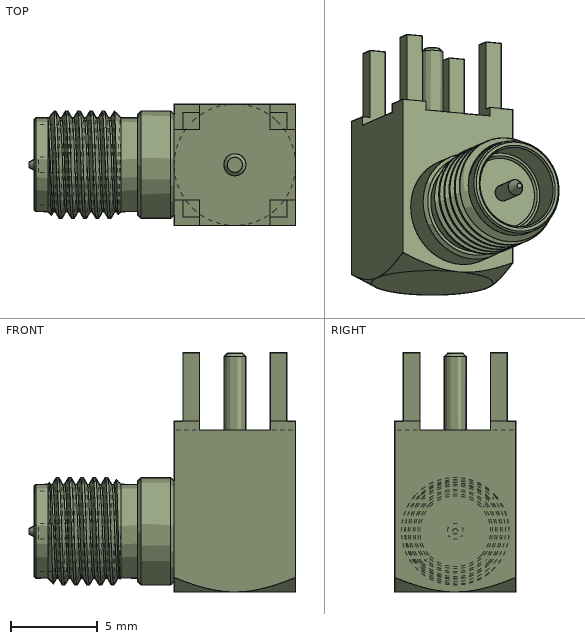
import cadquery as cq
import math


body_width = 7.0
body_half = body_width / 2
body_bottom = -3.5
overall_height = 13.8
leg_length = 3.95
pad_height = 0.5
pad_width = 1.475
leg_width = 0.975
legs_top = body_bottom + overall_height
pads_top = legs_top - leg_length
body_top = pads_top - pad_height
bottom_cone_angle = 30.0

board_pin_radius = 0.635
board_pin_chamfer = 0.2
board_pin_drop = 0.04
board_pin_top = legs_top - board_pin_drop

barrel_radius = 2.71
barrel_length = 8.07
barrel_chamfer = 0.1
collar_radius = 3.1
collar_length = 2.1
collar_chamfer = 0.2

thread_radius = 3.1
thread_start = 3.06
thread_end = 7.28
thread_pitch = 25.4 / 36
thread_flank_angle = 30.0
groove_root_width = 0.055
groove_overlap = 0.05
groove_root_radius = barrel_radius - groove_overlap
groove_outer_radius = thread_radius + groove_overlap
top_crest_distance = 6.72

bore_radius = 2.32
bore_mouth_chamfer = 0.1
bore_depth = 1.9
recess_radius = 2.16
recess_floor_radius = 2.04
recess_depth = 0.12
contact_radius = 0.46
contact_tip_radius = 0.15
contact_cone_length = 0.55
contact_length = 8.37


def revolve_on_barrel(outline):
    """Revolve (distance from body face, radius) points about the barrel axis."""
    points = [(-body_half - distance, radius) for distance, radius in outline]
    return cq.Workplane("XY").polyline(points).close().revolve(360, (0, 0, 0), (1, 0, 0))


def make_body():
    """Block whose lower corners are trimmed by a cone about the Z axis."""
    height = body_top - body_bottom
    block = cq.Workplane("XY").workplane(offset=body_bottom).rect(body_width, body_width)
    block = block.extrude(height)
    cone_top_radius = body_half + height / math.tan(math.radians(bottom_cone_angle))
    trim = (
        cq.Workplane("XZ")
        .moveTo(0, body_bottom)
        .lineTo(body_half, body_bottom)
        .lineTo(cone_top_radius, body_top)
        .lineTo(0, body_top)
        .close()
        .revolve(360, (0, 0, 0), (0, 1, 0))
    )
    return block.intersect(trim)


def make_corner_posts(width, center, top):
    """Four square posts standing on the body top, one per corner."""
    posts = cq.Workplane("XY").workplane(offset=body_top)
    posts = posts.rect(2 * center, 2 * center, forConstruction=True).vertices()
    return posts.rect(width, width).extrude(top - body_top)


def make_board_pin():
    """Round pin with a chamfered tip, in the middle of the body top."""
    pin = cq.Workplane("XY").workplane(offset=body_top).circle(board_pin_radius)
    return pin.extrude(board_pin_top - body_top).faces(">Z").chamfer(board_pin_chamfer)


def make_barrel():
    """Plain barrel with a chamfered end and a chamfered collar at the body."""
    return revolve_on_barrel([
        (0, 0),
        (0, collar_radius - collar_chamfer),
        (collar_chamfer, collar_radius),
        (collar_length - collar_chamfer, collar_radius),
        (collar_length, collar_radius - collar_chamfer),
        (collar_length, barrel_radius),
        (barrel_length - barrel_chamfer, barrel_radius),
        (barrel_length, barrel_radius - barrel_chamfer),
        (barrel_length, 0),
    ])


def make_thread():
    """Chamfered sleeve with a right-hand helical V groove cut into it."""
    lead_in = thread_radius - barrel_radius
    sleeve_inner_radius = barrel_radius / 2
    sleeve = revolve_on_barrel([
        (thread_start, sleeve_inner_radius),
        (thread_start, barrel_radius),
        (thread_start + lead_in, thread_radius),
        (thread_end - lead_in, thread_radius),
        (thread_end, barrel_radius),
        (thread_end, sleeve_inner_radius),
    ])

    extra_turns = 1
    turns = math.ceil((thread_end - thread_start) / thread_pitch) + 2 * extra_turns
    root_half = groove_root_width / 2
    groove_depth = groove_outer_radius - groove_root_radius
    outer_half = root_half + groove_depth * math.tan(math.radians(thread_flank_angle))
    helix = cq.Wire.makeHelix(thread_pitch, turns * thread_pitch, groove_root_radius)
    groove = (
        cq.Workplane("XZ")
        .polyline([
            (groove_root_radius, -root_half),
            (groove_outer_radius, -outer_half),
            (groove_outer_radius, outer_half),
            (groove_root_radius, root_half),
        ])
        .close()
        .sweep(cq.Workplane(helix), isFrenet=True)
    )
    groove = groove.rotate((0, 0, 0), (0, 1, 0), 90).rotate((0, 0, 0), (1, 0, 0), 180)
    groove_start = -body_half - top_crest_distance - (extra_turns + 0.5) * thread_pitch
    return sleeve.cut(groove.translate((groove_start, 0, 0)))


def make_socket():
    """Cavity: chamfered mouth, bore, ledge and a shallow tapered recess."""
    bore_floor = barrel_length - bore_depth
    recess_floor = bore_floor - recess_depth
    return revolve_on_barrel([
        (barrel_length, 0),
        (barrel_length, bore_radius + bore_mouth_chamfer),
        (barrel_length - bore_mouth_chamfer, bore_radius),
        (bore_floor, bore_radius),
        (bore_floor, recess_radius),
        (recess_floor, recess_floor_radius),
        (recess_floor, 0),
    ])


def make_contact():
    """Center contact with a conical tip reaching just past the barrel."""
    return revolve_on_barrel([
        (0, 0),
        (0, contact_radius),
        (contact_length - contact_cone_length, contact_radius),
        (contact_length, contact_tip_radius),
        (contact_length, 0),
    ])


pad_center = body_half - pad_width / 2
leg_center = body_half - pad_width + leg_width / 2

connector = make_barrel().union(make_thread()).cut(make_socket()).union(make_contact())
result = (
    make_body()
    .union(make_corner_posts(pad_width, pad_center, pads_top))
    .union(make_corner_posts(leg_width, leg_center, legs_top))
    .union(make_board_pin())
    .union(connector)
    .clean()
)